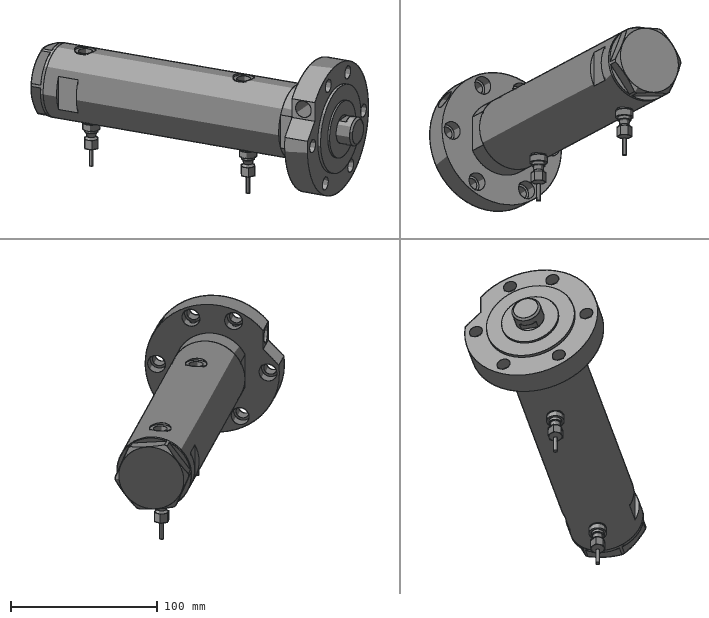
import cadquery as cq
import math

barrel_radius = 51.9 / 2
bore_radius = 20.0
across_flats = 46.0

cap_hex_end = 8.8
tube_start = 11.0
neck_start = 191.2
flange_start = 206.3
flange_end = 223.7
face_ring_end = 225.9
gland_end = 227.3
rod_end = 239.0

cap_hex_turn = 7.8
cap_face_radius = 22.7
cap_chamfer_length = 2.0
cap_plug_end = 35.1

tube_flat_start = 21.3
tube_flat_length = 15.0
port_positions = (30.4, 151.5)
port_radius = 4.8
port_seat_radius = 7.5
port_seat_depth = 1.5

flange_radius = 46.97
face_ring_radius = 31.0
notch_side = 35.5
notch_corner_height = 17.0
cross_hole_radius = 6.0
cross_hole_height = 24.4
bolt_circle_radius = 39.0
bolt_angles = (0, 67.5, 112.5, 180, 240, 300)
bolt_hole_radius = 4.5
bolt_head_radius = 6.2
bolt_head_depth = 8.4

gland_start = 154.2
rod_radius = 10.0
rod_flat_half = 8.1
rod_flat_end = 232.8
rod_chamfer = 1.5

sensor_positions = (35.0, 155.0)
sensor_seat = 22.7
sensor_collar_start = 26.8
sensor_collar_end = 31.3
sensor_step_end = 33.5
sensor_shoulder_end = 34.2
sensor_neck_end = 36.8
sensor_nut_start = 38.5
sensor_nut_end = 45.2
sensor_taper_end = 46.5
sensor_cable_end = 58.45
sensor_stem_radius = 5.3
sensor_collar_radius = 6.0
sensor_step_radius = 4.5
sensor_shoulder_radius = 3.5
sensor_neck_radius = 3.0
sensor_nut_flats = 9.0
sensor_cable_radius = 1.31


def rod_along_x(start, end, radius):
    """Round bar on the X axis between two stations."""
    return cq.Workplane("YZ", origin=(start, 0, 0)).circle(radius).extrude(end - start)


def between_flats(start, end, flats):
    """Slab on the X axis bounded by two flats that face -Y and +Y."""
    length = end - start
    height = 4 * barrel_radius
    return cq.Workplane("XY").box(length, flats, height).translate((start + length / 2, 0, 0))


def hexagon_circle(flats):
    """Diameter of the circle through the corners of a hexagon."""
    return flats / math.cos(math.radians(30))


def make_cap():
    hexagon = (
        cq.Workplane("YZ")
        .polygon(6, hexagon_circle(across_flats))
        .extrude(cap_hex_end)
        .rotate((0, 0, 0), (1, 0, 0), -cap_hex_turn)
    )
    envelope = (
        cq.Workplane("XY")
        .moveTo(0, 0)
        .lineTo(0, cap_face_radius)
        .lineTo(cap_chamfer_length, barrel_radius)
        .lineTo(cap_hex_end, barrel_radius)
        .lineTo(cap_hex_end, 0)
        .close()
        .revolve(360, (0, 0, 0), (1, 0, 0))
    )
    collar = rod_along_x(cap_hex_end, tube_start, barrel_radius)
    plug = rod_along_x(tube_start, cap_plug_end, bore_radius)
    return hexagon.intersect(envelope).union(collar).union(plug)


def make_tube():
    tube = rod_along_x(tube_start, neck_start, barrel_radius)
    tube = tube.cut(rod_along_x(tube_start, neck_start, bore_radius))

    flat_end = tube_flat_start + tube_flat_length
    flat_band = rod_along_x(tube_flat_start, flat_end, 2 * barrel_radius)
    tube = tube.cut(flat_band.cut(between_flats(tube_flat_start, flat_end, across_flats)))

    seat_height = barrel_radius - port_seat_depth
    for x in port_positions:
        port = cq.Workplane("XY", origin=(x, 0, 0)).circle(port_radius).extrude(barrel_radius)
        seat = (
            cq.Workplane("XY", origin=(x, 0, seat_height))
            .circle(port_seat_radius)
            .extrude(2 * port_seat_depth)
        )
        tube = tube.cut(port).cut(seat)

    for x in sensor_positions:
        socket = (
            cq.Workplane("XY", origin=(x, 0, -sensor_seat))
            .circle(sensor_stem_radius)
            .extrude(-barrel_radius)
        )
        tube = tube.cut(socket)
    return tube


def make_head():
    neck = rod_along_x(neck_start, flange_start, barrel_radius)
    neck = neck.intersect(between_flats(neck_start, flange_start, across_flats))
    flange = rod_along_x(flange_start, flange_end, flange_radius)

    slope_run = flange_radius - notch_side
    notch = (
        cq.Workplane("YZ", origin=(flange_start, 0, 0))
        .moveTo(-notch_side, flange_radius)
        .lineTo(-notch_side, notch_corner_height)
        .lineTo(-flange_radius, notch_corner_height - slope_run)
        .lineTo(-flange_radius, flange_radius)
        .close()
        .extrude(flange_end - flange_start)
    )
    flange = flange.cut(notch)

    for angle in bolt_angles:
        y = bolt_circle_radius * math.cos(math.radians(angle))
        z = bolt_circle_radius * math.sin(math.radians(angle))
        through_hole = rod_along_x(flange_start, flange_end, bolt_hole_radius)
        head_recess = rod_along_x(flange_start, flange_start + bolt_head_depth, bolt_head_radius)
        flange = flange.cut(through_hole.union(head_recess).translate((0, y, z)))

    cross_hole = (
        cq.Workplane("XZ", origin=((flange_start + flange_end) / 2, 0, cross_hole_height))
        .circle(cross_hole_radius)
        .extrude(flange_radius, both=True)
    )
    face_ring = rod_along_x(flange_end, face_ring_end, face_ring_radius)
    bore = rod_along_x(neck_start, face_ring_end, bore_radius)
    return neck.union(flange.cut(cross_hole)).union(face_ring).cut(bore)


def make_gland():
    gland = rod_along_x(gland_start, gland_end, bore_radius)
    return gland.cut(rod_along_x(gland_start, gland_end, rod_radius))


def make_rod():
    rod = rod_along_x(cap_plug_end, rod_end, rod_radius).faces(">X").chamfer(rod_chamfer)
    flat_length = rod_flat_end - gland_end
    flat_depth = rod_radius - rod_flat_half
    for side in (1, -1):
        cutter = cq.Workplane("XY").box(flat_length, 2 * rod_radius, flat_depth)
        center_height = side * (rod_flat_half + flat_depth / 2)
        rod = rod.cut(cutter.translate((gland_end + flat_length / 2, 0, center_height)))
    return rod


def make_sensor(x):
    nut_corner_radius = hexagon_circle(sensor_nut_flats) / 2
    nut_flat_radius = sensor_nut_flats / 2
    turned = (
        cq.Workplane("XZ")
        .moveTo(0, -sensor_seat)
        .lineTo(sensor_stem_radius, -sensor_seat)
        .lineTo(sensor_stem_radius, -sensor_collar_start)
        .lineTo(sensor_collar_radius, -sensor_collar_start)
        .lineTo(sensor_collar_radius, -sensor_collar_end)
        .lineTo(sensor_step_radius, -sensor_collar_end)
        .lineTo(sensor_step_radius, -sensor_step_end)
        .lineTo(sensor_shoulder_radius, -sensor_step_end)
        .lineTo(sensor_shoulder_radius, -sensor_shoulder_end)
        .lineTo(sensor_neck_radius, -sensor_neck_end)
        .lineTo(nut_flat_radius, -sensor_nut_start)
        .lineTo(nut_flat_radius, -sensor_nut_end)
        .lineTo(sensor_cable_radius, -sensor_taper_end)
        .lineTo(sensor_cable_radius, -sensor_cable_end)
        .lineTo(0, -sensor_cable_end)
        .close()
        .revolve(360, (0, 0, 0), (0, 1, 0))
    )
    nut = (
        cq.Workplane("XY", origin=(0, 0, -sensor_nut_end))
        .polygon(6, 2 * nut_corner_radius)
        .extrude(sensor_nut_end - sensor_nut_start)
    )
    return turned.union(nut).translate((x, 0, 0))


cap = make_cap()
tube = make_tube()
head = make_head()
gland = make_gland()
rod = make_rod()
sensors = [make_sensor(x).val() for x in sensor_positions]

result = cq.Compound.makeCompound([cap.val(), tube.val(), head.val(), gland.val(), rod.val(), *sensors])